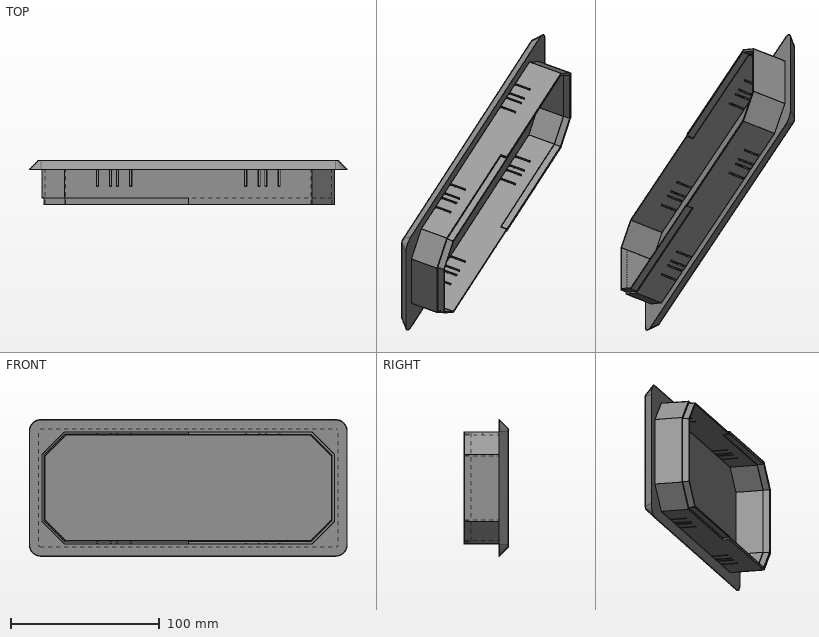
import cadquery as cq
import math

flange_length = 214.0
flange_height = 92.0
flange_thickness = 6.2
flange_corner_radius = 8.0
bevel_angle = 45.0

total_depth = 29.7
tray_length = 197.0
tray_height = 75.3
tray_corner_cut = 15.2
wall_thickness = 2.1

lap_depth = 4.5
outer_relief = 1.3
lip_thickness = 1.7

slit_width = 1.0
slit_length = 11.1
group_spacing = 100.0
inner_slit_spacing = 4.5
outer_slit_spacing = 22.5

flange_front = -flange_thickness
rim = -total_depth
lap_start = rim + lap_depth


def tray_block(inset, y_start, y_end):
    """Corner-cut block between two Y positions, inset evenly from the outside of the tray wall."""
    corner_cut = tray_corner_cut - (2 - math.sqrt(2)) * inset
    return (
        cq.Workplane("XZ", origin=(0, y_start, 0))
        .rect(tray_length - 2 * inset, tray_height - 2 * inset)
        .extrude(y_start - y_end)
        .edges("|Y")
        .chamfer(corner_cut)
    )


def make_flange():
    """Rounded plate whose whole edge is bevelled, narrowing towards the back."""
    outline = cq.Sketch().rect(flange_length, flange_height).vertices().fillet(flange_corner_radius)
    return (
        cq.Workplane("XZ", origin=(0, flange_front, 0))
        .placeSketch(outline)
        .extrude(-flange_thickness, taper=bevel_angle)
    )


def lap_zone(side):
    """Block covering the lap joint on one half of the tray: -1 is left, 1 is right."""
    zone_length = flange_length / 2
    return (
        cq.Workplane("XY")
        .box(zone_length, lap_depth, flange_height)
        .translate((side * zone_length / 2, rim + lap_depth / 2, 0))
    )


def make_lap_reliefs():
    """Material removed from the rim: outside of the left half, inside of the right half."""
    left_ring = tray_block(0, lap_start, rim).cut(tray_block(outer_relief, lap_start, rim))
    right_core = tray_block(lip_thickness, lap_start, rim)
    return left_ring.intersect(lap_zone(-1)).union(right_core.intersect(lap_zone(1)))


def make_slits():
    """Narrow slits through both long walls, running forward from the flange."""
    positions = [
        (group_side * group_spacing / 2 + slit_side * spacing / 2, 0)
        for group_side in (-1, 1)
        for spacing in (inner_slit_spacing, outer_slit_spacing)
        for slit_side in (-1, 1)
    ]
    return (
        cq.Workplane("XZ", origin=(0, flange_front, 0))
        .pushPoints(positions)
        .rect(slit_width, tray_height)
        .extrude(slit_length)
    )


tray_wall = tray_block(0, flange_front, rim).cut(tray_block(wall_thickness, flange_front, rim))
body = make_flange().union(tray_wall)
result = body.cut(make_lap_reliefs()).cut(make_slits())